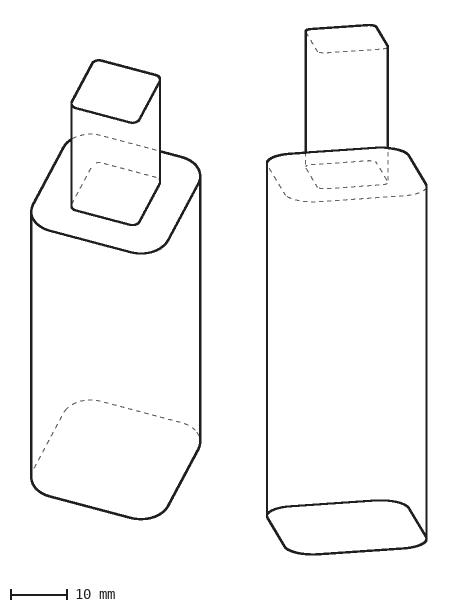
import cadquery as cq

total_height = 91.4
body_width = 25.4
body_corner_radius = 5.1
tang_width = body_width / 2
tang_height = body_width
tang_corner_radius = 1.3
body_height = total_height - tang_height


def rounded_square_bar(width, height, corner_radius):
    """Upright square bar, centred on Z and standing on Z = 0, with rounded vertical edges."""
    bar = cq.Workplane("XY").rect(width, width).extrude(height)
    return bar.edges("|Z").fillet(corner_radius)


body = rounded_square_bar(body_width, body_height, body_corner_radius)

tang = rounded_square_bar(tang_width, tang_height, tang_corner_radius).translate((0, 0, body_height))

result = body.union(tang)